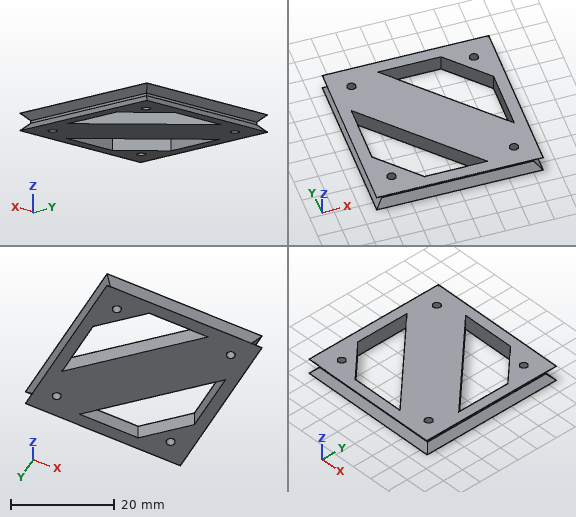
import cadquery as cq

side = 34.0
thickness = 3.5

groove_depth = 1.5
groove_floor = 0.5
flank_height = (thickness - groove_floor) / 2

hole_diameter = 1.75
hole_spacing = 25.0

frame_width = 2.48
window_edge = 12.9
window_reach = side / 2 - frame_width
half_edge = window_edge / 2


def rim_flank(outer_z, floor_z):
    """Tapered square from a full-size face to the groove floor."""
    floor_side = side - 2 * groove_depth
    return (
        cq.Workplane("XY", origin=(0, 0, outer_z))
        .rect(side, side)
        .workplane(offset=floor_z - outer_z)
        .rect(floor_side, floor_side)
        .loft(ruled=True)
    )


def grooved_plate():
    floor_side = side - 2 * groove_depth
    core = cq.Workplane("XY").rect(floor_side, floor_side).extrude(thickness)
    lower = rim_flank(0, flank_height)
    upper = rim_flank(thickness, thickness - flank_height)
    return core.union(lower).union(upper)


def window(sign):
    """Four-sided window; sign +1 is the +X +Y corner, -1 the opposite one."""
    outline = [
        (window_reach, -half_edge),
        (window_reach, half_edge),
        (half_edge, window_reach),
        (-half_edge, window_reach),
    ]
    points = [(sign * x, sign * y) for x, y in outline]
    return cq.Workplane("XY").polyline(points).close().extrude(thickness)


def mounting_holes():
    return (
        cq.Workplane("XY")
        .rect(hole_spacing, hole_spacing, forConstruction=True)
        .vertices()
        .circle(hole_diameter / 2)
        .extrude(thickness)
    )


result = grooved_plate().cut(mounting_holes())
for corner_sign in (1, -1):
    result = result.cut(window(corner_sign))